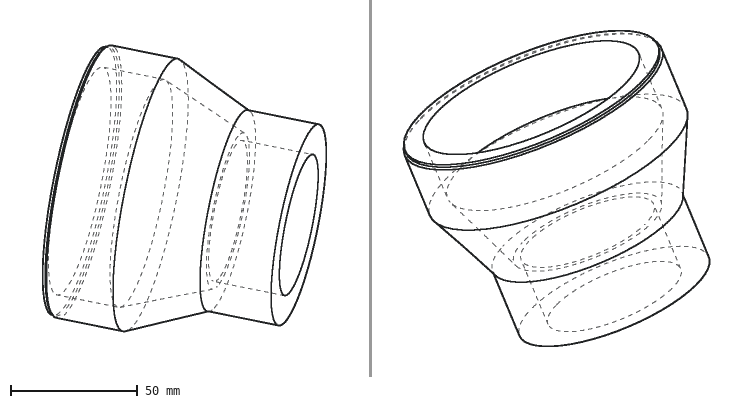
import cadquery as cq

total_length = 90.0
wide_length = 29.2
narrow_length = 29.2
taper_end = total_length - narrow_length

wide_diameter = 110.0
narrow_diameter = 81.2

lip_diameter = 108.4
lip_length = 1.1
lip_taper_length = 0.8

wide_bore_diameter = 91.8
taper_bore_diameter = 63.0
narrow_bore_diameter = 56.9
bore_taper_start = 25.3
bore_taper_end = taper_end


def revolve_about_x(profile):
    """Turn a closed (x, radius) profile about the X axis."""
    return cq.Workplane("XY").polyline(profile).close().revolve(360, (0, 0, 0), (1, 0, 0))


outer_profile = [
    (0, 0),
    (0, lip_diameter / 2),
    (lip_length, lip_diameter / 2),
    (lip_length + lip_taper_length, wide_diameter / 2),
    (wide_length, wide_diameter / 2),
    (taper_end, narrow_diameter / 2),
    (total_length, narrow_diameter / 2),
    (total_length, 0),
]

bore_profile = [
    (0, 0),
    (0, wide_bore_diameter / 2),
    (bore_taper_start, wide_bore_diameter / 2),
    (bore_taper_end, taper_bore_diameter / 2),
    (bore_taper_end, narrow_bore_diameter / 2),
    (total_length, narrow_bore_diameter / 2),
    (total_length, 0),
]

result = revolve_about_x(outer_profile).cut(revolve_about_x(bore_profile))